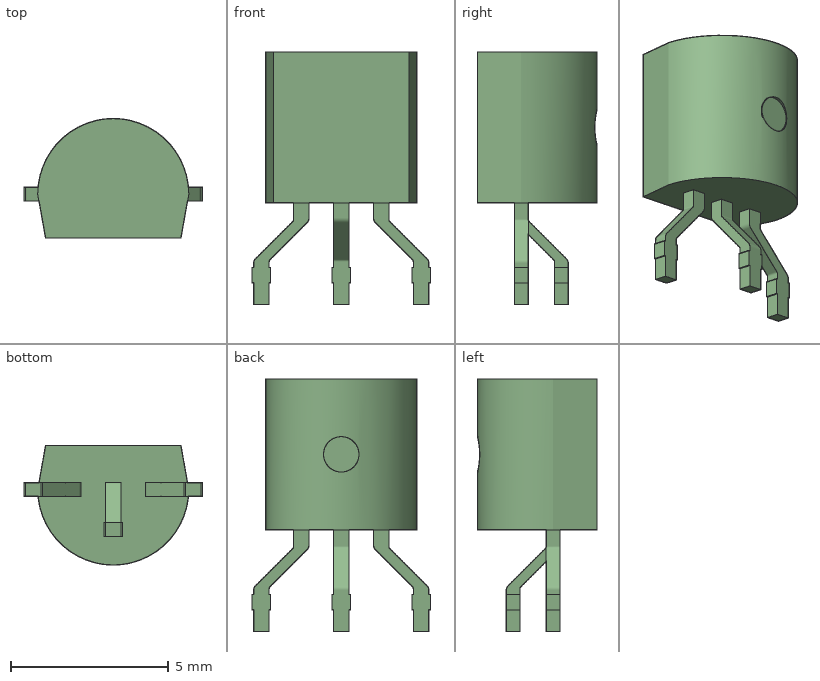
import cadquery as cq

total_height = 8.04
body_height = 4.8
body_radius = 2.4
flat_half_width = 2.155
flat_distance = 1.4
body_bottom = total_height - body_height

recess_diameter = 1.125
recess_depth = 0.1

lead_width = 0.5
lead_thickness = 0.44
lead_offset = 1.27
lower_bend_z = 1.4
upper_bend_z = lower_bend_z + lead_offset
outer_bend_radius = 0.2
inner_bend_radius = 0.1
lead_embed = 0.08

collar_width = 0.595
collar_bottom = 0.69
collar_top = 1.19


def make_body():
    body = (
        cq.Workplane("XY", origin=(0, 0, body_bottom))
        .moveTo(-flat_half_width, -flat_distance)
        .lineTo(flat_half_width, -flat_distance)
        .lineTo(body_radius, 0)
        .threePointArc((0, body_radius), (-body_radius, 0))
        .close()
        .extrude(body_height)
    )
    recess = (
        cq.Workplane("XZ", origin=(0, body_radius, body_bottom + body_height / 2))
        .circle(recess_diameter / 2)
        .extrude(recess_depth)
    )
    return body.cut(recess)


def bent_strip(plane, across, depth):
    """Strip bent toward the positive local x; across lies in the bend plane, depth normal to it."""
    half = across / 2
    lead_top = body_bottom + lead_embed
    strip = (
        cq.Workplane(plane)
        .polyline([
            (-half, lead_top),
            (-half, upper_bend_z),
            (lead_offset - half, lower_bend_z),
            (lead_offset - half, 0),
            (lead_offset + half, 0),
            (lead_offset + half, lower_bend_z),
            (half, upper_bend_z),
            (half, lead_top),
        ])
        .close()
        .extrude(depth / 2, both=True)
    )

    def round_bend(solid, x, z, radius):
        point = cq.Plane.named(plane).toWorldCoords((x, z))
        return solid.edges(cq.NearestToPointSelector(point.toTuple())).fillet(radius)

    strip = round_bend(strip, -half, upper_bend_z, outer_bend_radius)
    strip = round_bend(strip, lead_offset + half, lower_bend_z, outer_bend_radius)
    strip = round_bend(strip, half, upper_bend_z, inner_bend_radius)
    return round_bend(strip, lead_offset - half, lower_bend_z, inner_bend_radius)


def collar(x, y):
    height = collar_top - collar_bottom
    return (
        cq.Workplane("XY", origin=(x, y, collar_bottom))
        .box(collar_width, lead_thickness, height, centered=(True, True, False))
    )


right_lead = (
    bent_strip("XZ", lead_width, lead_thickness)
    .translate((lead_offset, 0, 0))
    .union(collar(2 * lead_offset, 0))
)
left_lead = right_lead.mirror("YZ")
middle_lead = bent_strip("YZ", lead_thickness, lead_width).union(collar(0, lead_offset))

result = make_body().union(right_lead).union(left_lead).union(middle_lead)